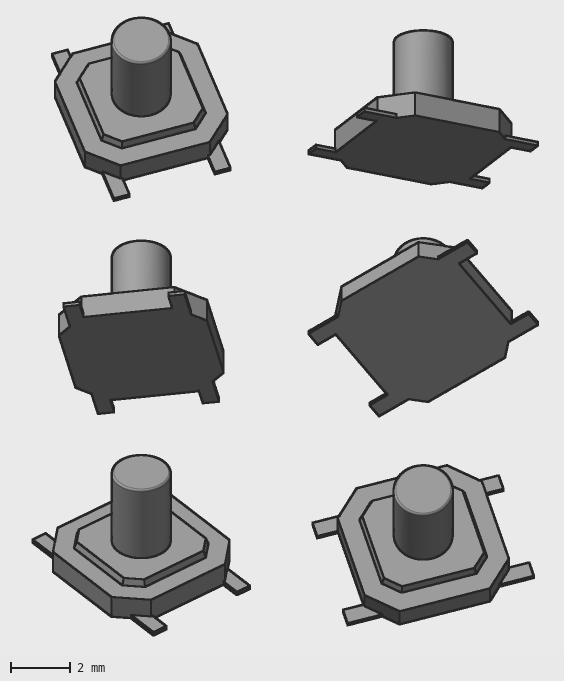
import cadquery as cq

lead_span = 6.58
total_height = 4.0

housing_width = 5.1
housing_corner = 0.955
housing_height = 0.85

cover_width = 3.725
cover_corner = 0.545
cover_height = 0.25
cover_taper_angle = 20.0

button_diameter = 2.01
button_edge_radius = 0.07

lead_width = 0.56
lead_thickness = 0.14
lead_offset = 1.8

cover_top = housing_height + cover_height
button_height = total_height - cover_top


def cut_corner_square(base_z, width, corner):
    """Closed outline of a square with its four corners cut at 45 degrees."""
    half = width / 2
    flat = half - corner
    points = [
        (half, -flat),
        (half, flat),
        (flat, half),
        (-flat, half),
        (-half, flat),
        (-half, -flat),
        (-flat, -half),
        (flat, -half),
    ]
    return cq.Workplane("XY").workplane(offset=base_z).polyline(points).close()


def make_housing():
    return cut_corner_square(0, housing_width, housing_corner).extrude(housing_height)


def make_cover():
    outline = cut_corner_square(housing_height, cover_width, cover_corner)
    return outline.extrude(cover_height, taper=cover_taper_angle)


def make_button():
    button = cq.Workplane("XY").workplane(offset=cover_top).circle(button_diameter / 2).extrude(button_height)
    return button.faces(">Z").edges().fillet(button_edge_radius)


def make_lead_strips():
    """Two straight strips; each passes under the housing and forms a lead at both ends."""
    return (
        cq.Workplane("XY")
        .pushPoints([(0, -lead_offset), (0, lead_offset)])
        .rect(lead_span, lead_width)
        .extrude(lead_thickness)
    )


result = make_housing().union(make_cover()).union(make_button()).union(make_lead_strips())